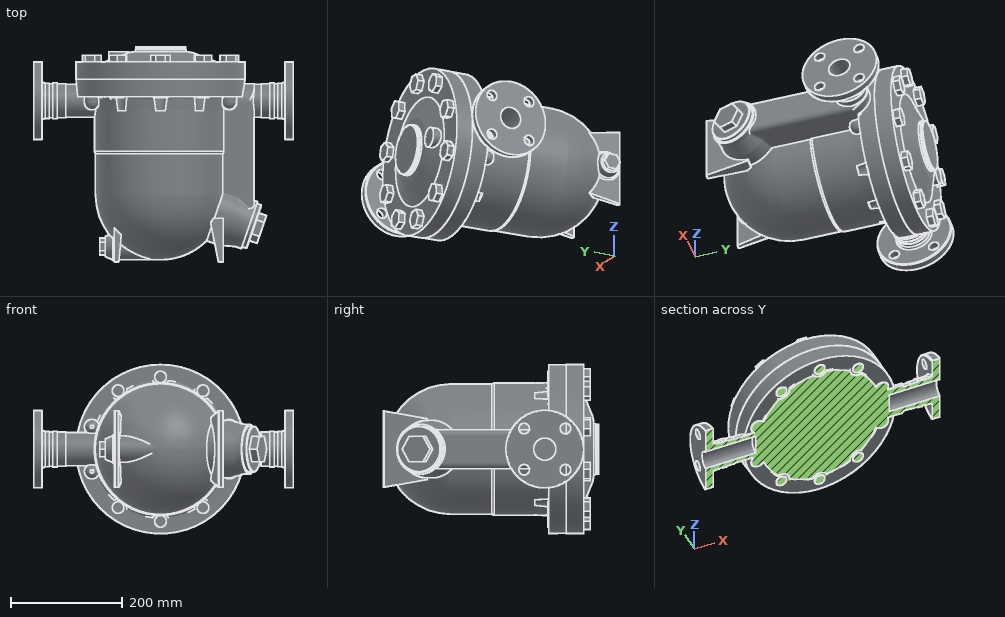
import cadquery as cq
import math


FLANGE_R = 152.5
COVER_TOP_Y = 70.2
BODY_FLANGE_R = 152.1
JOINT_Y = 39.0
FLANGE_BOTTOM_Y = 7.0
INLET_RELIEF = 3.0
OUTLET_RELIEF = 5.5
RELIEF_HALF_WIDTH = 45.0

CROWN_BASE_R = 100.0
CROWN_SHOULDER_R = 59.0
CROWN_SHOULDER_Y = 86.5
CROWN_TOP_R = 49.0
CROWN_TOP_Y = 88.5
PAD_FOOT_R = 46.0
PAD_FOOT_TOP_Y = 92.0
PAD_R = 45.0
PAD_TOP_Y = 97.1
PAD_GROOVE_DEPTH = 0.8
PAD_GROOVE_BOTTOM_Y = 93.5
PAD_GROOVE_TOP_Y = 95.0
COVER_BOSS_D = 36.0
COVER_BOSS_X = -75.4

BOLT_COUNT = 10
BOLT_CIRCLE_R = 130.0
BOLT_STEP = 360.0 / BOLT_COUNT
BOLT_START = 18.0
BOLT_AF = 30.0
BOLT_HEAD_HEIGHT = 12.0
STUD_D = 21.0
STUD_PROTRUSION = 1.5
SCALLOP_TOP_R = 15.5
SCALLOP_BOTTOM_R = 14.0
SCALLOP_BOTTOM_Y = -18.0
CAP_NUT_R = 13.5
CAP_NUT_SHOULDER_Y = -4.0
CAP_NUT_MID_R = 11.0
CAP_NUT_MID_Y = -11.0
CAP_NUT_TIP_R = 3.0
CAP_NUT_TIP_Y = -16.0

BOWL_R = 119.3
NECK_R = 120.3
NECK_FILLET = 4.0
NECK_BOTTOM_Y = -17.0
STEP_TOP_Y = -91.0
STEP_BOTTOM_Y = -95.0
DOME_R = 117.6
DOME_CENTER_Y = -169.0

INLET_X = -228.7
OUTLET_X = 239.3
PIPE_FLANGE_R = 70.0
PIPE_FLANGE_THICKNESS = 16.0
PIPE_FLANGE_CHAMFER = 1.5
PIPE_HOLE_D = 19.0
PIPE_HOLE_CIRCLE_D = 105.0
PIPE_HOLE_COUNT = 4
PIPE_R = 30.0
SOCKET_R = 31.0
COLLAR_R = 32.5
HUB_ROOT_R = 34.0
HUB_R = 32.0
HUB_FLARE_END = 21.0
HUB_END = 28.0
COLLAR_START = 35.0
COLLAR_END = 42.5
SOCKET_END = 58.0
BORE_D = 40.0
BORE_DEPTH = 100.0

PASSAGE_HALF_WIDTH = 35.0
PASSAGE_END_X = 168.3
PASSAGE_BOTTOM_Y = -215.0
PASSAGE_CORNER_R = 10.0
PASSAGE_TOP_Y = SOCKET_R
PASSAGE_ROUND_START_Y = PASSAGE_TOP_Y - PASSAGE_HALF_WIDTH

SEAT_FACE_X = 168.5
SEAT_FACE_Y = -226.9
SEAT_TILT = 19.0
SEAT_PLUG_R = 41.5
SEAT_PLUG_CHAMFER = 1.0
SEAT_PLUG_DEPTH = 9.0
SEAT_NECK_R = 45.0
SEAT_NECK_DEPTH = 20.0
SEAT_BODY_R = 52.0
SEAT_CONE_DEPTH = 46.0
SEAT_BODY_DEPTH = 100.0
SEAT_HEX_AF = 46.0
SEAT_HEX_LENGTH = 14.7

VALLEY_R = 5.0
VALLEY_INNER_X = 85.0
VALLEY_OUTER_X = 160.0
VALLEY_BOTTOM_Y = -200.0
VALLEY_TOP_Y = -150.0
VALLEY_DEPTH_Z = 2.0

DRAIN_R = 24.0
DOME_TIP_COVER = 0.1
DRAIN_Y = DOME_CENTER_Y - DOME_R + DOME_TIP_COVER + DRAIN_R
DRAIN_ROOT_R = 27.0
DRAIN_SHOULDER_X = -86.5
DRAIN_COLLAR_X = -96.0
DRAIN_COLLAR_R = 20.0
DRAIN_PLUG_R = 18.0
DRAIN_FACE_X = -100.0
DRAIN_HEX_AF = 27.0
DRAIN_HEX_LENGTH = 9.8

FOOT_BOTTOM_Y = -290.7
FOOT_HALF_WIDTH = 69.0
FOOT_SIDE_SLOPE = 0.18
FOOT_CHAMFER = 1.5
LEFT_FOOT_OUTER_X = -83.5
LEFT_FOOT_TOE_X = -75.0
LEFT_FOOT_ROOT_X = -69.5
LEFT_FOOT_TOP_Y = -226.0
RIGHT_FOOT_OUTER_X = 113.2
RIGHT_FOOT_TOE_X = 104.0
RIGHT_FOOT_ROOT_X = 88.5
RIGHT_FOOT_TOP_Y = -211.5


def revolve_y(profile):
    """Turn a closed (radius, y) sketch about the vessel axis."""
    return profile.close().revolve(360, (0, 0, 0), (0, 1, 0))


def cylinder_y(radius, bottom_y, top_y, x=0.0, z=0.0):
    return cq.Workplane(cq.Solid.makeCylinder(
        radius, top_y - bottom_y, cq.Vector(x, bottom_y, z), cq.Vector(0, 1, 0)))


def hexagon(across_flats):
    """Corner-to-corner diameter of a hexagon."""
    return across_flats / math.cos(math.radians(30))


def bolt_angles():
    return [BOLT_START + i * BOLT_STEP for i in range(BOLT_COUNT)]


def is_next_to_pipe(angle):
    """The four bolts beside the pipe carry cap nuts instead of running into scallops."""
    return abs(math.cos(math.radians(angle))) > math.cos(math.radians(BOLT_STEP))


def place_on_bolt_circle(item, angle):
    """Move an item built on +X at the bolt circle round to the given angle, +X towards +Z."""
    return item.rotate((0, 0, 0), (0, 1, 0), -angle)


def make_cover():
    plate = cylinder_y(FLANGE_R, JOINT_Y, COVER_TOP_Y)
    crown = revolve_y(
        cq.Workplane("XY")
        .moveTo(0, JOINT_Y)
        .lineTo(CROWN_BASE_R, JOINT_Y)
        .lineTo(CROWN_BASE_R, COVER_TOP_Y)
        .lineTo(CROWN_SHOULDER_R, CROWN_SHOULDER_Y)
        .lineTo(CROWN_TOP_R, CROWN_TOP_Y)
        .lineTo(PAD_FOOT_R, CROWN_TOP_Y)
        .lineTo(PAD_FOOT_R, PAD_FOOT_TOP_Y)
        .lineTo(PAD_R, PAD_FOOT_TOP_Y)
        .lineTo(PAD_R, PAD_GROOVE_BOTTOM_Y)
        .lineTo(PAD_R - PAD_GROOVE_DEPTH, PAD_GROOVE_BOTTOM_Y)
        .lineTo(PAD_R - PAD_GROOVE_DEPTH, PAD_GROOVE_TOP_Y)
        .lineTo(PAD_R, PAD_GROOVE_TOP_Y)
        .lineTo(PAD_R, PAD_TOP_Y)
        .lineTo(0, PAD_TOP_Y)
    )
    boss = cylinder_y(COVER_BOSS_D / 2, JOINT_Y, CROWN_TOP_Y, x=COVER_BOSS_X)
    return plate.union(crown).union(boss)


def make_flange_relief(side, relief):
    """Wedge that slopes the body flange inwards where the pipe passes; side is -1 or +1."""
    rim = side * FLANGE_R
    foot = side * (FLANGE_R - relief)
    return (
        cq.Workplane("XY")
        .moveTo(rim, JOINT_Y)
        .lineTo(rim + side, JOINT_Y)
        .lineTo(rim + side, FLANGE_BOTTOM_Y)
        .lineTo(foot, FLANGE_BOTTOM_Y)
        .close()
        .extrude(RELIEF_HALF_WIDTH, both=True)
    )


def make_body_flange():
    flange = cylinder_y(BODY_FLANGE_R, FLANGE_BOTTOM_Y, JOINT_Y)
    flange = flange.cut(make_flange_relief(-1, INLET_RELIEF))
    return flange.cut(make_flange_relief(1, OUTLET_RELIEF))


def make_bowl():
    fillet_middle = NECK_FILLET * (1 - math.sqrt(0.5))
    bowl = revolve_y(
        cq.Workplane("XY")
        .moveTo(0, JOINT_Y)
        .lineTo(NECK_R + NECK_FILLET, JOINT_Y)
        .lineTo(NECK_R + NECK_FILLET, FLANGE_BOTTOM_Y)
        .threePointArc(
            (NECK_R + fillet_middle, FLANGE_BOTTOM_Y - fillet_middle),
            (NECK_R, FLANGE_BOTTOM_Y - NECK_FILLET),
        )
        .lineTo(BOWL_R, NECK_BOTTOM_Y)
        .lineTo(BOWL_R, STEP_TOP_Y)
        .lineTo(DOME_R, STEP_BOTTOM_Y)
        .lineTo(DOME_R, DOME_CENTER_Y)
        .threePointArc(
            (DOME_R * math.sqrt(0.5), DOME_CENTER_Y - DOME_R * math.sqrt(0.5)),
            (0, DOME_CENTER_Y - DOME_R),
        )
    )
    scallop = revolve_y(
        cq.Workplane("XY")
        .moveTo(0, FLANGE_BOTTOM_Y)
        .lineTo(SCALLOP_TOP_R, FLANGE_BOTTOM_Y)
        .lineTo(SCALLOP_BOTTOM_R, SCALLOP_BOTTOM_Y)
        .lineTo(0, SCALLOP_BOTTOM_Y)
    ).translate((BOLT_CIRCLE_R, 0, 0))
    for angle in bolt_angles():
        if not is_next_to_pipe(angle):
            bowl = bowl.cut(place_on_bolt_circle(scallop, angle))
    return bowl


def make_bolts():
    head = (
        cq.Workplane("XZ", origin=(BOLT_CIRCLE_R, COVER_TOP_Y, 0))
        .transformed(rotate=(0, 0, 30))
        .polygon(6, hexagon(BOLT_AF))
        .extrude(-BOLT_HEAD_HEIGHT)
    )
    stud = cylinder_y(STUD_D / 2, FLANGE_BOTTOM_Y - STUD_PROTRUSION, JOINT_Y, x=BOLT_CIRCLE_R)
    cap_nut = revolve_y(
        cq.Workplane("XY")
        .moveTo(0, JOINT_Y)
        .lineTo(CAP_NUT_R, JOINT_Y)
        .lineTo(CAP_NUT_R, CAP_NUT_SHOULDER_Y)
        .threePointArc((CAP_NUT_MID_R, CAP_NUT_MID_Y), (CAP_NUT_TIP_R, CAP_NUT_TIP_Y))
        .lineTo(0, CAP_NUT_TIP_Y)
    ).translate((BOLT_CIRCLE_R, 0, 0))
    pieces = []
    for angle in bolt_angles():
        lower_end = cap_nut if is_next_to_pipe(angle) else stud
        pieces.append(place_on_bolt_circle(head, angle))
        pieces.append(place_on_bolt_circle(lower_end, angle))
    return pieces


def make_pipe_end(face_x):
    """Bolted flange, stepped hub and pipe running from a flange face to the vessel axis."""
    length = abs(face_x)
    back = PIPE_FLANGE_THICKNESS
    end = (
        cq.Workplane("XY")
        .moveTo(0, 0)
        .lineTo(0, PIPE_FLANGE_R)
        .lineTo(back - PIPE_FLANGE_CHAMFER, PIPE_FLANGE_R)
        .lineTo(back, PIPE_FLANGE_R - PIPE_FLANGE_CHAMFER)
        .lineTo(back, HUB_ROOT_R)
        .lineTo(HUB_FLARE_END, HUB_R)
        .lineTo(HUB_END, HUB_R)
        .lineTo(HUB_END, SOCKET_R)
        .lineTo(COLLAR_START, SOCKET_R)
        .lineTo(COLLAR_START, COLLAR_R)
        .lineTo(COLLAR_END, COLLAR_R)
        .lineTo(COLLAR_END, SOCKET_R)
        .lineTo(SOCKET_END, SOCKET_R)
        .lineTo(SOCKET_END, PIPE_R)
        .lineTo(length, PIPE_R)
        .lineTo(length, 0)
        .close()
        .revolve(360, (0, 0, 0), (1, 0, 0))
    )
    holes = (
        cq.Workplane("YZ")
        .polarArray(PIPE_HOLE_CIRCLE_D / 2, 45, 360, PIPE_HOLE_COUNT)
        .circle(PIPE_HOLE_D / 2)
        .extrude(PIPE_FLANGE_THICKNESS)
    )
    end = end.cut(holes).translate((-length, 0, 0))
    return end if face_x < 0 else end.mirror("YZ")


def make_bore(face_x):
    inner_x = face_x - math.copysign(BORE_DEPTH, face_x)
    return cq.Workplane("YZ", origin=(min(face_x, inner_x), 0, 0)).circle(BORE_D / 2).extrude(BORE_DEPTH)


def make_outlet_passage():
    """Duct with flat sides, rounded outer corners and a round top, from the pipe to the seat boss."""
    side_view = (
        cq.Workplane("YZ")
        .moveTo(PASSAGE_BOTTOM_Y, -PASSAGE_HALF_WIDTH)
        .lineTo(PASSAGE_ROUND_START_Y, -PASSAGE_HALF_WIDTH)
        .threePointArc((PASSAGE_TOP_Y, 0), (PASSAGE_ROUND_START_Y, PASSAGE_HALF_WIDTH))
        .lineTo(PASSAGE_BOTTOM_Y, PASSAGE_HALF_WIDTH)
        .close()
        .extrude(PASSAGE_END_X)
    )
    duct = (
        cq.Workplane("XY")
        .box(PASSAGE_END_X, PASSAGE_TOP_Y - PASSAGE_BOTTOM_Y, 2 * PASSAGE_HALF_WIDTH, centered=False)
        .translate((0, PASSAGE_BOTTOM_Y, -PASSAGE_HALF_WIDTH))
        .edges(">X and |Y")
        .fillet(PASSAGE_CORNER_R)
    )
    return duct.intersect(side_view)


def make_seat_boss():
    """Stepped boss and hex plug, built along X from the end face and then tilted downwards."""
    boss = (
        cq.Workplane("XY")
        .moveTo(0, 0)
        .lineTo(0, SEAT_PLUG_R - SEAT_PLUG_CHAMFER)
        .lineTo(-SEAT_PLUG_CHAMFER, SEAT_PLUG_R)
        .lineTo(-SEAT_PLUG_DEPTH, SEAT_PLUG_R)
        .lineTo(-SEAT_PLUG_DEPTH, SEAT_NECK_R)
        .lineTo(-SEAT_NECK_DEPTH, SEAT_NECK_R)
        .lineTo(-SEAT_CONE_DEPTH, SEAT_BODY_R)
        .lineTo(-SEAT_BODY_DEPTH, SEAT_BODY_R)
        .lineTo(-SEAT_BODY_DEPTH, 0)
        .close()
        .revolve(360, (0, 0, 0), (1, 0, 0))
    )
    plug = cq.Workplane("YZ").polygon(6, hexagon(SEAT_HEX_AF)).extrude(SEAT_HEX_LENGTH)
    return (
        boss.union(plug)
        .rotate((0, 0, 0), (0, 0, 1), -SEAT_TILT)
        .translate((SEAT_FACE_X, SEAT_FACE_Y, 0))
    )


def make_outlet_side():
    """Outlet passage and seat boss, with the valleys along both passage flanks rounded."""
    joined = make_outlet_passage().union(make_seat_boss())
    for side in (-1, 1):
        flank_z = side * PASSAGE_HALF_WIDTH
        valley = cq.selectors.BoxSelector(
            (VALLEY_INNER_X, VALLEY_BOTTOM_Y, flank_z - VALLEY_DEPTH_Z),
            (VALLEY_OUTER_X, VALLEY_TOP_Y, flank_z + VALLEY_DEPTH_Z),
        )
        joined = joined.edges(valley).fillet(VALLEY_R)
    return joined


def make_drain():
    boss = (
        cq.Workplane("XY")
        .moveTo(0, 0)
        .lineTo(0, DRAIN_R)
        .lineTo(LEFT_FOOT_TOE_X, DRAIN_R)
        .lineTo(LEFT_FOOT_TOE_X, DRAIN_ROOT_R)
        .lineTo(LEFT_FOOT_OUTER_X, DRAIN_ROOT_R)
        .lineTo(DRAIN_SHOULDER_X, DRAIN_R)
        .lineTo(DRAIN_COLLAR_X, DRAIN_COLLAR_R)
        .lineTo(DRAIN_FACE_X, DRAIN_PLUG_R)
        .lineTo(DRAIN_FACE_X, 0)
        .close()
        .revolve(360, (0, 0, 0), (1, 0, 0))
    )
    plug = (
        cq.Workplane("YZ", origin=(DRAIN_FACE_X, 0, 0))
        .polygon(6, hexagon(DRAIN_HEX_AF))
        .extrude(-DRAIN_HEX_LENGTH)
    )
    return boss.union(plug).translate((0, DRAIN_Y, 0))


def make_foot(outer_x, toe_x, root_x, top_y):
    """Wedge-shaped plate that thickens towards the dome and widens towards the ground."""
    wedge = (
        cq.Workplane("XY")
        .moveTo(outer_x, FOOT_BOTTOM_Y)
        .lineTo(toe_x, FOOT_BOTTOM_Y)
        .lineTo(root_x, top_y)
        .lineTo(outer_x, top_y)
        .close()
        .extrude(FOOT_HALF_WIDTH, both=True)
        .faces("<Y")
        .edges("|Z")
        .chamfer(FOOT_CHAMFER)
    )
    top_half_width = FOOT_HALF_WIDTH - FOOT_SIDE_SLOPE * (top_y - FOOT_BOTTOM_Y)
    low_x = min(outer_x, root_x)
    outline = (
        cq.Workplane("YZ", origin=(low_x, 0, 0))
        .moveTo(FOOT_BOTTOM_Y, -FOOT_HALF_WIDTH)
        .lineTo(FOOT_BOTTOM_Y, FOOT_HALF_WIDTH)
        .lineTo(top_y, top_half_width)
        .lineTo(top_y, -top_half_width)
        .close()
        .extrude(abs(root_x - outer_x))
    )
    return wedge.intersect(outline)


parts = [
    make_body_flange(),
    make_bowl(),
    make_pipe_end(INLET_X),
    make_pipe_end(OUTLET_X),
    make_outlet_side(),
    make_drain(),
    make_foot(LEFT_FOOT_OUTER_X, LEFT_FOOT_TOE_X, LEFT_FOOT_ROOT_X, LEFT_FOOT_TOP_Y),
    make_foot(RIGHT_FOOT_OUTER_X, RIGHT_FOOT_TOE_X, RIGHT_FOOT_ROOT_X, RIGHT_FOOT_TOP_Y),
]

result = make_cover()
for part in parts + make_bolts():
    result = result.union(part)
for pipe_face_x in (INLET_X, OUTLET_X):
    result = result.cut(make_bore(pipe_face_x))